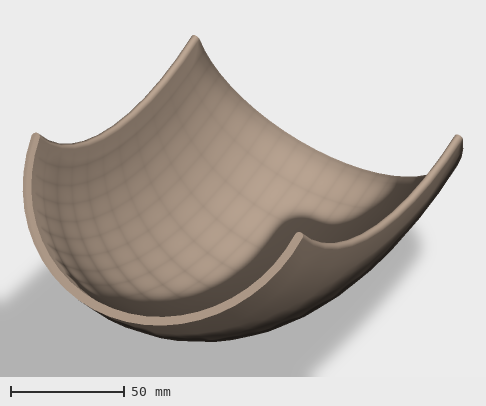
import cadquery as cq
import math

outer_radius = 69.64
wall = 4.0
bend_radius = 122.5
rim_centre_drop = 6.2
low_end_angle = 17.13
high_end_angle = 52.7

inner_radius = outer_radius - wall
rim_radius = wall / 2
mid_radius = outer_radius - rim_radius
rim_angle = math.asin(rim_centre_drop / mid_radius)
bottom_angle = math.pi / 2


def section_point(radius, angle):
    """Point on the section at a radius and an angle below horizontal, on the +X side."""
    return (radius * math.cos(angle), -bend_radius - radius * math.sin(angle))


def mirrored(point):
    """The same point on the -X side."""
    return (-point[0], point[1])


def trough_section():
    """Arc-shaped wall, open upward, with full-round rims."""
    outer_rim = section_point(outer_radius, rim_angle)
    inner_rim = section_point(inner_radius, rim_angle)
    rim_centre = section_point(mid_radius, rim_angle)
    rim_tip = (
        rim_centre[0] + rim_radius * math.sin(rim_angle),
        rim_centre[1] + rim_radius * math.cos(rim_angle),
    )
    outer_bottom = section_point(outer_radius, bottom_angle)
    inner_bottom = section_point(inner_radius, bottom_angle)
    return (
        cq.Workplane("XZ")
        .moveTo(*outer_rim)
        .threePointArc(outer_bottom, mirrored(outer_rim))
        .threePointArc(mirrored(rim_tip), mirrored(inner_rim))
        .threePointArc(inner_bottom, inner_rim)
        .threePointArc(rim_tip, outer_rim)
        .close()
    )


def bent_trough():
    """Section swept about the X axis, then turned so each end sits at its own angle."""
    axis_start = (0, 0, 0)
    axis_end = (1, 0, 0)
    bend_angle = low_end_angle + high_end_angle
    bend = trough_section().revolve(bend_angle, axis_start, axis_end)
    return bend.rotate(axis_start, axis_end, -high_end_angle)


result = bent_trough()